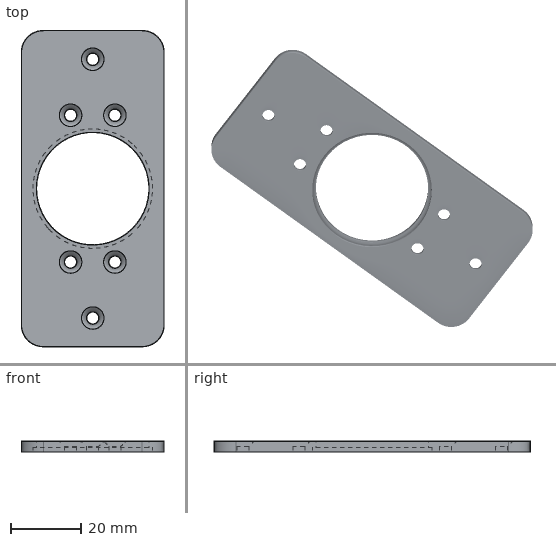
import cadquery as cq

width = 40.7
length = 90.0
thickness = 3.15
corner_radius = 6.3

opening_diameter = 31.9
recess_diameter = 34.0
recess_depth = 1.35

hole_diameter = 3.4
countersink_diameter = 6.4
countersink_angle = 90.0
end_hole_offset = 36.8
inner_hole_x = 6.3
inner_hole_y = 20.9

end_holes = [(0, side * end_hole_offset) for side in (-1, 1)]
inner_holes = [(sx * inner_hole_x, sy * inner_hole_y) for sx in (-1, 1) for sy in (-1, 1)]

plate = cq.Workplane("XY").box(width, length, thickness).edges("|Z").fillet(corner_radius)

plate = plate.faces("<Z").workplane().cboreHole(opening_diameter, recess_diameter, recess_depth)

result = (
    plate.faces(">Z")
    .workplane(origin=(0, 0, 0))
    .pushPoints(end_holes + inner_holes)
    .cskHole(hole_diameter, countersink_diameter, countersink_angle)
)